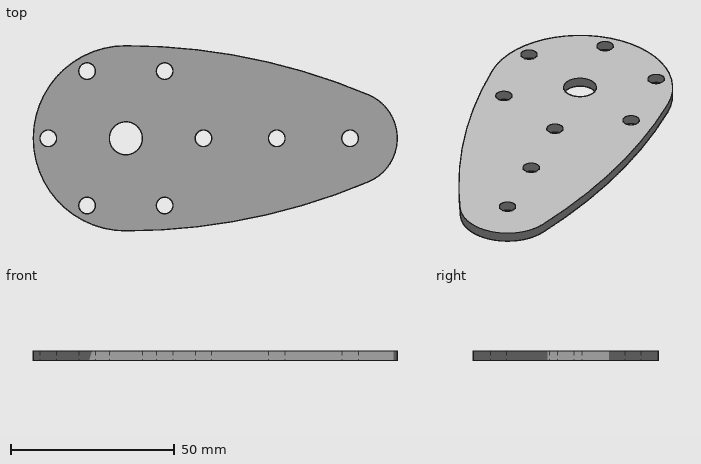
import cadquery as cq
import math

length = 111.5
width = 56.8
thickness = 3.0
head_radius = width / 2
tip_radius = 14.5

bore_diameter = 10.0
bolt_diameter = 5.0
bolt_circle_radius = 23.8
bolt_count = 6

tip_center_x = length - head_radius - tip_radius

flank_radius = (tip_center_x**2 + head_radius**2 - tip_radius**2) / (2 * (head_radius - tip_radius))
flank_center_y = head_radius - flank_radius
flank_sweep = math.atan2(tip_center_x, -flank_center_y)


def flank_point(angle):
    """Point on the upper flank arc, at an angle measured from the Y axis."""
    x = flank_radius * math.sin(angle)
    y = flank_center_y + flank_radius * math.cos(angle)
    return x, y


def mirrored(point):
    return point[0], -point[1]


flank_middle = flank_point(flank_sweep / 2)
flank_end = flank_point(flank_sweep)
plate = (
    cq.Workplane("XY")
    .moveTo(0, head_radius)
    .threePointArc(flank_middle, flank_end)
    .threePointArc((tip_center_x + tip_radius, 0), mirrored(flank_end))
    .threePointArc(mirrored(flank_middle), (0, -head_radius))
    .threePointArc((-head_radius, 0), (0, head_radius))
    .close()
    .extrude(thickness)
)

bore = cq.Workplane("XY").circle(bore_diameter / 2).extrude(thickness)

ring_holes = (
    cq.Workplane("XY")
    .polarArray(bolt_circle_radius, 0, 360, bolt_count)
    .circle(bolt_diameter / 2)
    .extrude(thickness)
)

middle_hole_x = (bolt_circle_radius + tip_center_x) / 2
tail_holes = (
    cq.Workplane("XY")
    .pushPoints([(middle_hole_x, 0), (tip_center_x, 0)])
    .circle(bolt_diameter / 2)
    .extrude(thickness)
)

result = plate.cut(bore).cut(ring_holes).cut(tail_holes)